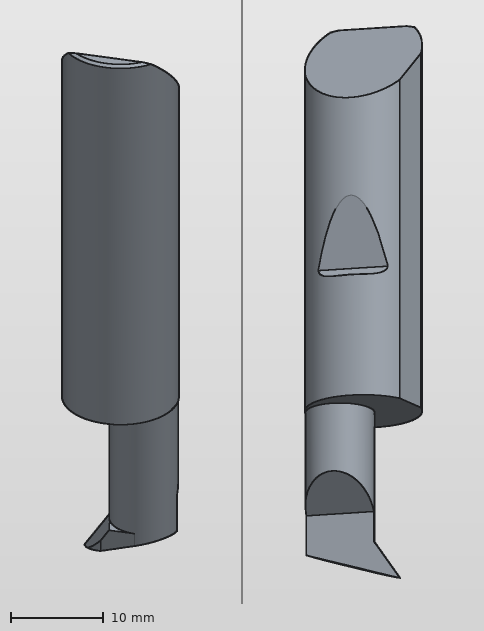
import cadquery as cq
import math

length = 63.5
shank_radius = 6.35
shank_bottom = 19.05
end_chamfer_width = 0.45
end_chamfer_height = 0.25

flat_end_y = 4.0

top_land_y = -4.6

notch_start = 41.6
notch_radius = 1.3
notch_depth = 1.35
notch_angle = 10

neck_radius = 3.75
neck_x = shank_radius - neck_radius
neck_left = neck_x - neck_radius
relief_bottom = 7.7

tip_x = -4.05
head_top = 4.4
head_heel_x = -1.2
heel_arc_radius = 8.25
cutting_edge_rise = 3.25
flank_offset = 0.9
bottom_clearance_rise = 0.75

big = 2 * length
margin = 0.65


def prism_along_x(points):
    """Extrude a Y-Z outline through the whole part along X."""
    return cq.Workplane("YZ").polyline(points).close().extrude(big / 2, both=True)


def make_shank():
    shank_length = length - shank_bottom
    shank = cq.Workplane("XY").workplane(offset=shank_bottom).circle(shank_radius).extrude(shank_length)
    shank = shank.faces(">Z").chamfer(end_chamfer_height, end_chamfer_width)

    flat_end_x = -math.sqrt(shank_radius**2 - flat_end_y**2)
    flat = (
        cq.Workplane("XY")
        .polyline([(-shank_radius, 0), (flat_end_x, flat_end_y), (-shank_radius, flat_end_y)])
        .close()
        .extrude(big)
    )
    slope = prism_along_x([(top_land_y, length), (top_land_y + big, length - big), (big, length)])
    return shank.cut(flat).cut(slope).cut(make_notch())


def make_notch():
    """Shallow ramp along +Y that ends in a rounded shoulder, cut straight through along X."""
    angle = math.radians(notch_angle)
    floor_y = shank_radius - notch_depth
    center_y = floor_y + notch_radius
    center_z = notch_start - (notch_radius + (shank_radius - center_y) * math.cos(angle)) / math.sin(angle)

    def on_arc(degrees):
        turn = math.radians(degrees)
        return (center_y - notch_radius * math.cos(turn), center_z + notch_radius * math.sin(turn))

    return (
        cq.Workplane("YZ")
        .moveTo(shank_radius, notch_start)
        .lineTo(*on_arc(-notch_angle))
        .threePointArc(on_arc(-(notch_angle + 90) / 2), on_arc(-90))
        .lineTo(big, center_z - notch_radius)
        .lineTo(big, notch_start)
        .close()
        .extrude(shank_radius, both=True)
    )


def make_neck():
    neck = cq.Workplane("XY").center(neck_x, 0).circle(neck_radius).extrude(shank_bottom)
    relief = prism_along_x([(0, -margin), (0, relief_bottom), (big, relief_bottom + big), (big, -margin)])
    return neck.cut(relief)


def make_head():
    """Pointed head whose plan has a rounded heel and whose side is a plane leaning in toward -Y."""
    block = (
        cq.Workplane("XY")
        .moveTo(tip_x, 0)
        .radiusArc((head_heel_x, -neck_radius), -heel_arc_radius)
        .lineTo(neck_x, -neck_radius)
        .lineTo(neck_x, 0)
        .close()
        .extrude(head_top)
    )
    flank_slope = (neck_left - tip_x) / head_top
    side = [(tip_x - flank_slope * margin, -margin), (neck_left, head_top), (big, head_top), (big, -margin)]
    inner_side = [(x + flank_offset if x < 0 else x, z) for x, z in side]
    envelope = (
        cq.Workplane("XZ")
        .polyline(side)
        .close()
        .workplane(offset=neck_radius)
        .polyline(inner_side)
        .close()
        .loft(ruled=True)
    )
    return block.intersect(envelope)


def make_bottom_clearance():
    """Body below the sloping end face, which rises toward both +X and -Y."""
    edge = [(tip_x, 0), (shank_radius, cutting_edge_rise), (shank_radius, -shank_radius), (tip_x, -shank_radius)]
    raised_edge = [(x, z + bottom_clearance_rise if z >= 0 else z) for x, z in edge]
    return (
        cq.Workplane("XZ")
        .polyline(edge)
        .close()
        .workplane(offset=neck_radius)
        .polyline(raised_edge)
        .close()
        .loft(ruled=True)
    )


tool_end = make_neck().union(make_head()).cut(make_bottom_clearance())
result = make_shank().union(tool_end)